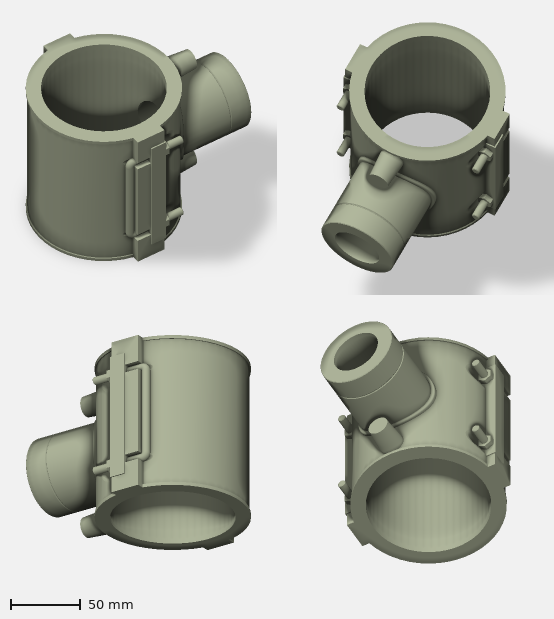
import cadquery as cq
import math

HALF_HEIGHT = 59.0
BORE_RADIUS = 45.0
BODY_RADIUS = 55.0
RIM_RADIUS = 56.0
RIM_HEIGHT = 2.5

FLANGE_HALF_WIDTH = 60.5
FLANGE_THICKNESS = 11.5
FLANGE_INNER_X = 46.0
PLATE_HALF_WIDTH = 61.5
PLATE_THICKNESS = 12.4
PLATE_HALF_LENGTH = 47.3

BOLT_X = 54.75
BOLT_Z = 35.4
BOLT_RADIUS = 3.0
BOLT_TIP_Y = 30.2
BOLT_TIP_CHAMFER = 0.5
BEND_INNER_RADIUS = 0.02
BEND_RADIUS = BOLT_RADIUS + BEND_INNER_RADIUS
BOLT_BAR_Y = -FLANGE_THICKNESS - BEND_RADIUS
NUT_ACROSS_FLATS = 10.0
NUT_HEIGHT = 4.0
NUT_POCKET_RADIUS = 7.5
NUT_POCKET_FLOOR_Y = 3.0
NUT_POCKET_FILLET = 5.0

PIPE_RADIUS = 58.3 / 2
PIPE_BORE_RADIUS = 35.88 / 2
PIPE_END_Y = 107.9
PIPE_END_CHAMFER = 0.5
PIPE_GROOVE_RADIUS = 57.3 / 2
PIPE_GROOVE_Y = 90.4
PIPE_GROOVE_WIDTH = 1.4
PIPE_GROOVE_FLOOR_WIDTH = 0.4
COLLAR_RADIUS = 62.78 / 2
COLLAR_HEIGHT = COLLAR_RADIUS - PIPE_RADIUS
COLLAR_ROUNDING = 1.2

POST_Z = 47.5
POST_BASE_RADIUS = 9.25
POST_TIP_RADIUS = 7.7
POST_TIP_Y = 75.2

MARGIN = 1.0
HEX_HALF_ANGLE = math.radians(30)


def y_cylinder(radius, y_start, y_end, x=0.0, z=0.0):
    """Cylinder along +Y between two Y positions."""
    return cq.Workplane("XY").add(
        cq.Solid.makeCylinder(radius, y_end - y_start, cq.Vector(x, y_start, z), cq.Vector(0, 1, 0))
    )


def z_cylinder(radius, z_low, z_high, x=0.0, y=0.0):
    """Cylinder along +Z between two Z positions."""
    return cq.Workplane("XY", origin=(x, y, z_low)).circle(radius).extrude(z_high - z_low)


def box(x_range, y_range, z_range):
    """Box given by its limits along X, Y and Z."""
    sizes = [limits[1] - limits[0] for limits in (x_range, y_range, z_range)]
    corner = (x_range[0], y_range[0], z_range[0])
    return cq.Workplane("XY", origin=corner).box(*sizes, centered=False)


def make_body():
    """Outer cylinder with filleted nut pockets and a raised rim at each end."""
    body = z_cylinder(BODY_RADIUS, -HALF_HEIGHT, HALF_HEIGHT)
    for side in (-1, 1):
        for level in (-1, 1):
            pocket = y_cylinder(
                NUT_POCKET_RADIUS, NUT_POCKET_FLOOR_Y, BODY_RADIUS, side * BOLT_X, level * BOLT_Z
            )
            body = body.cut(pocket)
            body = body.edges(pocket_mouth(side, level)).fillet(NUT_POCKET_FILLET)
    for z_low in (-HALF_HEIGHT, HALF_HEIGHT - RIM_HEIGHT):
        body = body.union(z_cylinder(RIM_RADIUS, z_low, z_low + RIM_HEIGHT))
    return body


def pocket_mouth(side, level):
    """Selector for the curved pocket edge that lies on the body surface."""
    reach = NUT_POCKET_RADIUS + MARGIN
    x_limits = sorted((side * (BOLT_X - reach), side * (BOLT_X + reach)))
    return cq.selectors.BoxSelector(
        (x_limits[0], NUT_POCKET_FLOOR_Y + MARGIN, level * BOLT_Z - reach),
        (x_limits[1], BODY_RADIUS, level * BOLT_Z + reach),
    )


def make_flanges(side):
    """Meeting clamping flanges of one side, with the thicker middle plate on the +Y one."""
    def x_range(outer):
        return sorted((side * FLANGE_INNER_X, side * outer))

    flange = box(
        x_range(FLANGE_HALF_WIDTH),
        (-FLANGE_THICKNESS, FLANGE_THICKNESS),
        (-HALF_HEIGHT, HALF_HEIGHT),
    )
    plate = box(
        x_range(PLATE_HALF_WIDTH),
        (0, PLATE_THICKNESS),
        (-PLATE_HALF_LENGTH, PLATE_HALF_LENGTH),
    )
    return flange.union(plate)


def make_bolt_slot(side, level):
    """Round-ended slot, open to the outside, through the -Y flange."""
    slot = y_cylinder(BOLT_RADIUS, -BODY_RADIUS, 0, side * BOLT_X, level * BOLT_Z)
    opening = box(
        sorted((side * BOLT_X, side * (PLATE_HALF_WIDTH + MARGIN))),
        (-BODY_RADIUS, 0),
        (level * BOLT_Z - BOLT_RADIUS, level * BOLT_Z + BOLT_RADIUS),
    )
    return slot.union(opening)


def make_u_bolt(side):
    """U bolt with a straight bar along Z, two bent legs along +Y and two nuts."""
    x = side * BOLT_X
    bar_half_length = BOLT_Z - BEND_RADIUS
    bolt = z_cylinder(BOLT_RADIUS, -bar_half_length, bar_half_length, x, BOLT_BAR_Y)
    for level in (-1, 1):
        leg = y_cylinder(BOLT_RADIUS, -FLANGE_THICKNESS, BOLT_TIP_Y, x, level * BOLT_Z)
        leg = leg.faces(">Y").chamfer(BOLT_TIP_CHAMFER)
        bend = (
            cq.Workplane("XY", origin=(x, BOLT_BAR_Y, level * bar_half_length))
            .circle(BOLT_RADIUS)
            .revolve(90, (0, BEND_RADIUS), (-level, BEND_RADIUS))
        )
        nut = (
            cq.Workplane("XZ", origin=(x, PLATE_THICKNESS, level * BOLT_Z))
            .transformed(rotate=(0, 0, 90))
            .polygon(6, NUT_ACROSS_FLATS / math.cos(HEX_HALF_ANGLE))
            .extrude(-NUT_HEIGHT)
        )
        bolt = bolt.union(leg).union(bend).union(nut)
    return bolt


def make_branch():
    """Solid branch pipe with a chamfered end, a shallow tapered groove and a rounded root collar."""
    half_width = PIPE_GROOVE_WIDTH / 2
    half_floor = PIPE_GROOVE_FLOOR_WIDTH / 2
    pipe_profile = [
        (0, 0),
        (PIPE_RADIUS, 0),
        (PIPE_RADIUS, PIPE_GROOVE_Y - half_width),
        (PIPE_GROOVE_RADIUS, PIPE_GROOVE_Y - half_floor),
        (PIPE_GROOVE_RADIUS, PIPE_GROOVE_Y + half_floor),
        (PIPE_RADIUS, PIPE_GROOVE_Y + half_width),
        (PIPE_RADIUS, PIPE_END_Y - PIPE_END_CHAMFER),
        (PIPE_RADIUS - PIPE_END_CHAMFER, PIPE_END_Y),
        (0, PIPE_END_Y),
    ]
    pipe = cq.Workplane("XY").polyline(pipe_profile).close().revolve(360, (0, 0), (0, 1))
    collar = y_cylinder(COLLAR_RADIUS, 0, PIPE_END_Y)
    collar = collar.intersect(z_cylinder(BODY_RADIUS + COLLAR_HEIGHT, -HALF_HEIGHT, HALF_HEIGHT))
    collar = collar.edges(">Y").fillet(COLLAR_ROUNDING)
    return pipe.union(collar)


def make_post(level):
    """Post along +Y, tapering from the body surface to its tip."""
    slope = (POST_BASE_RADIUS - POST_TIP_RADIUS) / (POST_TIP_Y - BODY_RADIUS)
    root_y = BORE_RADIUS
    root_radius = POST_TIP_RADIUS + slope * (POST_TIP_Y - root_y)
    cone = cq.Solid.makeCone(
        root_radius,
        POST_TIP_RADIUS,
        POST_TIP_Y - root_y,
        cq.Vector(0, root_y, level * POST_Z),
        cq.Vector(0, 1, 0),
    )
    return cq.Workplane("XY").add(cone)


part = make_body()
for side in (-1, 1):
    part = part.union(make_flanges(side))
part = part.union(make_branch())
for level in (-1, 1):
    part = part.union(make_post(level))

part = part.cut(z_cylinder(BORE_RADIUS, -HALF_HEIGHT, HALF_HEIGHT))
part = part.cut(y_cylinder(PIPE_BORE_RADIUS, 0, PIPE_END_Y))

for side in (-1, 1):
    for level in (-1, 1):
        part = part.cut(make_bolt_slot(side, level))
    part = part.union(make_u_bolt(side))

result = part